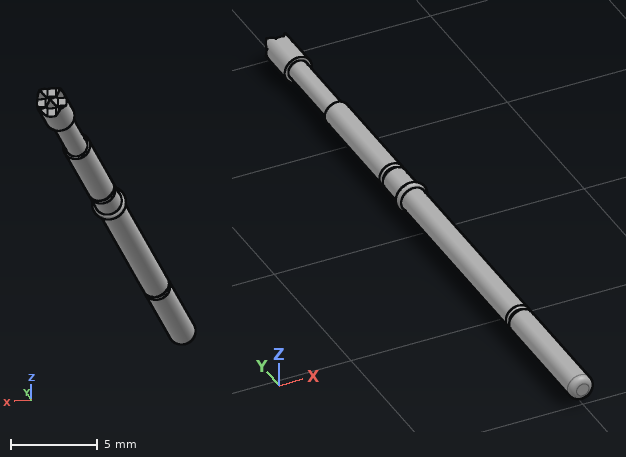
import cadquery as cq

length = 40.0

barrel_radius = 0.8
barrel_length = 32.0
tail_round = 0.4

bead_radius = 1.0
bead_width = 0.5
bead_y = 22.3

groove_depth = 0.1
groove_width = 0.45
front_groove_y = 24.65
rear_groove_y = 8.2

plunger_radius = 0.65
head_radius = 0.9
head_length = 2.95

tooth_height = 0.55
tooth_base = 0.7
tooth_pitch = 0.6
crown_y = length - tooth_height


def cylinder(radius, start, end):
    """Round bar on the Y axis between two Y positions."""
    return cq.Workplane("XZ", origin=(0, start, 0)).circle(radius).extrude(start - end)


def make_barrel():
    """Barrel with two V grooves, a rounded bead and a rounded tail."""
    bead_half = bead_width / 2
    groove_half = groove_width / 2
    groove_bottom = barrel_radius - groove_depth
    profile = (
        cq.Workplane("XY")
        .lineTo(barrel_radius, 0)
        .lineTo(barrel_radius, rear_groove_y - groove_half)
        .lineTo(groove_bottom, rear_groove_y)
        .lineTo(barrel_radius, rear_groove_y + groove_half)
        .lineTo(barrel_radius, bead_y - bead_half)
        .threePointArc((bead_radius, bead_y), (barrel_radius, bead_y + bead_half))
        .lineTo(barrel_radius, front_groove_y - groove_half)
        .lineTo(groove_bottom, front_groove_y)
        .lineTo(barrel_radius, front_groove_y + groove_half)
        .lineTo(barrel_radius, barrel_length)
        .lineTo(0, barrel_length)
        .close()
    )
    return profile.revolve(360, (0, 0), (0, 1)).faces("<Y").edges().fillet(tail_round)


def tooth(x, z):
    """Square pyramid pointing to +Y, where two triangular prisms cross."""
    half = tooth_base / 2
    triangle = [(-half, crown_y), (half, crown_y), (0, length)]
    along_z = cq.Workplane("XY").polyline(triangle).close().extrude(half, both=True)
    along_x = along_z.rotate((0, 0, 0), (0, 1, 0), 90)
    return along_z.intersect(along_x).translate((x, 0, z))


def make_plunger():
    """Plunger stem and head, with the pyramid crown trimmed to the head's outline."""
    stem = cylinder(plunger_radius, barrel_length, length - head_length)
    head = cylinder(head_radius, length - head_length, crown_y)
    crown = tooth(0, 0)
    for x in (-tooth_pitch, tooth_pitch):
        for z in (-tooth_pitch, tooth_pitch):
            crown = crown.union(tooth(x, z))
    crown = crown.intersect(cylinder(head_radius, crown_y, length))
    return stem.union(head).union(crown)


result = make_barrel().union(make_plunger())